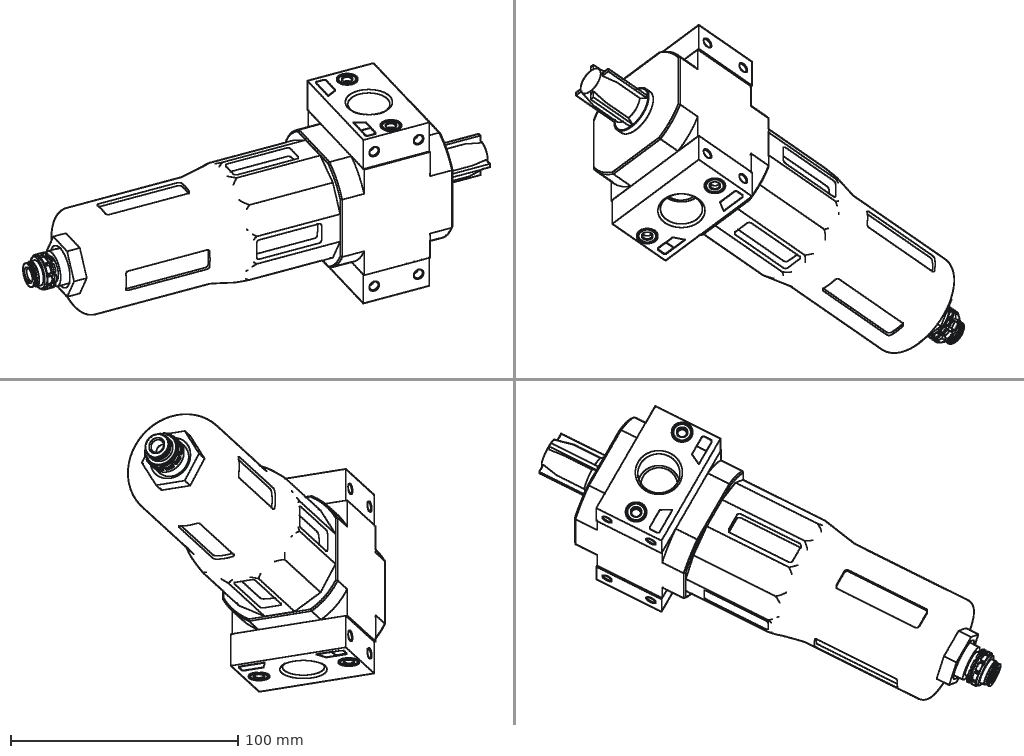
import cadquery as cq
import math


housing_width = 55.0
housing_height = 55.0
housing_length = 55.4
housing_end_radius = 31.3
housing_end_chamfer = 0.7
through_bore_diameter = 16.0

overall_height = 85.0
plate_length = 32.5
plate_shift_x = -0.7
port_diameter = 18.5
port_mouth_diameter = 20.8
port_shift_x = -0.2
side_hole_diameter = 4.2
side_hole_mouth_diameter = 5.0
side_hole_depth = 4.5
side_hole_offset_y = 11.0
drill_point_angle = 118.0
label_depth = 0.2
label_outer_x = 25.0
label_long_inner_x = 12.3
label_short_inner_x = 15.0
label_split_x = 19.5
label_corner_radius = 1.0
label_top_y = -8.7
label_bottom_y = -13.6

screw_offset_x = 21.5
screw_diameter = 7.5
screw_recess_diameter = 8.5
screw_recess_chamfer = 0.5
screw_length = 5.5
screw_socket_diameter = 4.2
screw_socket_mouth_diameter = 5.0
screw_socket_depth = 2.2

guard_side_count = 12
guard_flat_size = 53.3
guard_bowl_diameter = 48.7
guard_taper_start = 41.0
guard_taper_length = 16.5
guard_length = 118.3
guard_end_fillet = 4.0
window_width = 10.0
window_corner_radius = 1.3
window_floor_diameter = 45.5
upper_window_start = 9.2
upper_window_length = 32.0
lower_window_start = 63.0
lower_window_length = 41.3

knob_length = 27.7
knob_collar_diameter = 22.0
knob_collar_length = 2.7
knob_flare_diameter = 21.0
knob_flare_length = 2.7
knob_core_diameter = 16.3
knob_tip_diameter = 12.7
knob_tip_length = 8.5
knob_fin_span = 20.5
knob_fin_thickness = 1.8
knob_fin_setback = 1.0

drain_hex_flats = 23.7
drain_hex_length = 6.3
drain_hex_mouth_diameter = 19.2
drain_ring_diameter = 16.0
drain_shank_diameter = 11.5
drain_step_diameter = 14.5
drain_neck_diameter = 10.0
drain_lip_diameter = 11.0
drain_hole_diameter = 6.0
drain_hole_mouth_diameter = 7.4
drain_hole_depth = 6.7
drain_collar_end = 3.8
drain_first_groove_end = 5.8
drain_thin_ring_end = 6.7
drain_second_groove_end = 8.0
drain_thick_ring_end = 10.0
drain_step_end = 11.2
drain_shoulder_end = 13.2
drain_land_end = 14.0
drain_neck_end = 15.0
drain_stem_length = 15.6
drain_slot_count = 10
drain_slot_width = 1.3

housing_half = housing_length / 2
plate_inner_z = housing_height / 2
plate_outer_z = overall_height / 2
plate_thickness = plate_outer_z - plate_inner_z
side_hole_z = plate_inner_z + plate_thickness / 2
guard_end_y = -housing_half - guard_length
drain_stem_y = guard_end_y - drain_hex_length
cut_margin = 2.2


def rod_along_y(diameter, y_start, y_end):
    """Cylinder on the Y axis between two places."""
    low = min(y_start, y_end)
    return cq.Workplane("XZ", origin=(0, low, 0)).circle(diameter / 2).extrude(-abs(y_end - y_start))


def turned_along_y(profile):
    """Solid of revolution about Y from (radius, y) points whose ends lie on the axis."""
    return cq.Workplane("XY").polyline(profile).close().revolve(360, (0, 0, 0), (0, 1, 0))


def drilled_hole(diameter, depth, mouth_diameter):
    """Cutter along -Z from the origin: blind hole with a pointed end and a chamfered mouth."""
    radius = diameter / 2
    mouth_radius = mouth_diameter / 2
    point_length = radius / math.tan(math.radians(drill_point_angle / 2))
    profile = [
        (0, 0),
        (mouth_radius, 0),
        (radius, radius - mouth_radius),
        (radius, -depth),
        (0, -depth - point_length),
    ]
    return cq.Workplane("XZ").polyline(profile).close().revolve(360, (0, 0, 0), (0, 1, 0))


def make_housing():
    """Square middle block with rounded-square ends and a vertical through bore."""
    ends = cq.Workplane("XY").box(housing_width, housing_length, housing_height)
    ends = ends.intersect(rod_along_y(2 * housing_end_radius, -housing_half, housing_half))
    ends = ends.faces("<Y or >Y").chamfer(housing_end_chamfer)
    middle = cq.Workplane("XY").box(housing_width, plate_length, housing_height)
    bore = cq.Workplane("XY").circle(through_bore_diameter / 2).extrude(housing_height, both=True)
    return ends.union(middle).cut(bore)


def port_cutter():
    """Port through the plate with a 45 degree chamfer at its outer mouth."""
    port_radius = port_diameter / 2
    mouth_radius = port_mouth_diameter / 2
    profile = [
        (0, plate_inner_z),
        (port_radius, plate_inner_z),
        (port_radius, plate_outer_z - (mouth_radius - port_radius)),
        (mouth_radius, plate_outer_z),
        (0, plate_outer_z),
    ]
    cutter = cq.Workplane("XZ").polyline(profile).close().revolve(360, (0, 0, 0), (0, 1, 0))
    return cutter.translate((port_shift_x, 0, 0))


def label_recess(side):
    """Shallow recess with one slanted end, on the -X (side -1) or +X (side +1) half of the plate."""
    outline = [
        (side * label_outer_x, label_bottom_y),
        (side * label_outer_x, label_top_y),
        (side * label_short_inner_x, label_top_y),
        (side * label_long_inner_x, label_bottom_y),
    ]
    floor_z = plate_outer_z - label_depth
    recess = cq.Workplane("XY", origin=(plate_shift_x, 0, floor_z)).polyline(outline).close()
    outer_edges = "|Z and <X" if side < 0 else "|Z and >X"
    return recess.extrude(cut_margin).edges(outer_edges).fillet(label_corner_radius)


def split_label_step():
    """Deeper outer part of the +X label recess."""
    outer_part = cq.Workplane("XY").box(housing_width, housing_length, overall_height)
    outer_part = outer_part.translate((plate_shift_x + label_split_x + housing_width / 2, 0, 0))
    return label_recess(1).translate((0, 0, -label_depth)).intersect(outer_part)


def screw_recess(side):
    """Flat-bottomed recess with a chamfered mouth for one plate screw."""
    recess = cq.Workplane("XY").circle(screw_recess_diameter / 2).extrude(-screw_length)
    mouth = cq.Workplane("XY").circle(screw_recess_diameter / 2 + screw_recess_chamfer)
    mouth = mouth.extrude(-screw_recess_chamfer, taper=45)
    return recess.union(mouth).translate((side * screw_offset_x, 0, plate_outer_z))


def make_top_plate():
    """Port plate on top of the housing."""
    plate = cq.Workplane("XY").box(housing_width, plate_length, plate_thickness)
    plate = plate.translate((plate_shift_x, 0, side_hole_z)).cut(port_cutter())
    for side in (-1, 1):
        plate = plate.cut(screw_recess(side))
        plate = plate.cut(label_recess(side))
        hole = drilled_hole(side_hole_diameter, side_hole_depth, side_hole_mouth_diameter)
        hole = hole.rotate((0, 0, 0), (0, 1, 0), side * 90)
        face_x = plate_shift_x + side * housing_width / 2
        for hole_y in (-side_hole_offset_y, side_hole_offset_y):
            plate = plate.cut(hole.translate((face_x, hole_y, side_hole_z)))
    return plate.cut(split_label_step())


def make_top_screw(side):
    """Socket screw flush with the top plate."""
    socket = drilled_hole(screw_socket_diameter, screw_socket_depth, screw_socket_mouth_diameter)
    screw = cq.Workplane("XY").circle(screw_diameter / 2).extrude(-screw_length).cut(socket)
    return screw.translate((side * screw_offset_x, 0, plate_outer_z))


def window_cutter(y_start, length):
    """Rounded rectangle reaching outward along +Z, used for one window of the guard."""
    centre_y = y_start - length / 2
    return (
        cq.Workplane("XY", origin=(0, centre_y, 0))
        .rect(window_width, length)
        .extrude(guard_flat_size)
        .edges("|Z")
        .fillet(window_corner_radius)
    )


def make_guard():
    """Twelve-sided guard that tapers into a round bowl, with two rows of four windows."""
    corner_diameter = guard_flat_size / math.cos(math.pi / guard_side_count)
    corner_radius = corner_diameter / 2
    bowl_radius = guard_bowl_diameter / 2
    start_y = -housing_half
    taper_y = start_y - guard_taper_start
    bowl_y = taper_y - guard_taper_length
    envelope = turned_along_y(
        [
            (0, start_y),
            (corner_radius + cut_margin, start_y),
            (corner_radius + cut_margin, taper_y),
            (corner_radius, taper_y),
            (bowl_radius, bowl_y),
            (bowl_radius, guard_end_y),
            (0, guard_end_y),
        ]
    )
    prism = cq.Workplane("XZ", origin=(0, start_y, 0)).polygon(guard_side_count, corner_diameter)
    half_side_angle = 180 / guard_side_count
    prism = prism.extrude(guard_length).rotate((0, 0, 0), (0, 1, 0), half_side_angle)
    guard = prism.intersect(envelope).faces("<Y").edges().fillet(guard_end_fillet)

    core = rod_along_y(window_floor_diameter, start_y, guard_end_y)
    for offset, length in (
        (upper_window_start, upper_window_length),
        (lower_window_start, lower_window_length),
    ):
        window = window_cutter(start_y - offset, length).cut(core)
        for quarter in range(4):
            guard = guard.cut(window.rotate((0, 0, 0), (0, 1, 0), 90 * quarter))
    return guard


def make_knob():
    """Adjusting knob: collar, flare, core with a tapered tip and four fins."""
    tip_y = housing_half + knob_length
    collar_y = housing_half + knob_collar_length
    flare_y = collar_y + knob_flare_length
    knob = turned_along_y(
        [
            (0, housing_half),
            (knob_collar_diameter / 2, housing_half),
            (knob_collar_diameter / 2, collar_y),
            (knob_flare_diameter / 2, collar_y),
            (knob_core_diameter / 2, flare_y),
            (knob_core_diameter / 2, tip_y - knob_tip_length),
            (knob_tip_diameter / 2, tip_y),
            (0, tip_y),
        ]
    )
    fin_length = knob_length - knob_collar_length - knob_fin_setback
    fin_y = collar_y + fin_length / 2
    for width, height in ((knob_fin_span, knob_fin_thickness), (knob_fin_thickness, knob_fin_span)):
        fins = cq.Workplane("XY").box(width, fin_length, height).translate((0, fin_y, 0))
        knob = knob.union(fins)
    return knob


def make_drain():
    """Hex base with a countersunk end face, and a stem with slotted rings and an end hole."""
    corner_diameter = drain_hex_flats / math.cos(math.pi / 6)
    drain = cq.Workplane("XZ", origin=(0, guard_end_y, 0)).polygon(6, corner_diameter)
    drain = drain.extrude(drain_hex_length)
    mouth_radius = drain_hex_mouth_diameter / 2
    countersink = cq.Workplane("XZ", origin=(0, drain_stem_y, 0)).circle(mouth_radius)
    sink_depth = mouth_radius - drain_ring_diameter / 2
    drain = drain.cut(countersink.extrude(-sink_depth, taper=45))

    start = -sink_depth
    for diameter, end in (
        (drain_ring_diameter, drain_collar_end),
        (drain_shank_diameter, drain_first_groove_end),
        (drain_ring_diameter, drain_thin_ring_end),
        (drain_shank_diameter, drain_second_groove_end),
        (drain_ring_diameter, drain_thick_ring_end),
        (drain_step_diameter, drain_step_end),
        (drain_shank_diameter, drain_shoulder_end),
        (drain_lip_diameter, drain_land_end),
        (drain_neck_diameter, drain_neck_end),
        (drain_lip_diameter, drain_stem_length),
    ):
        drain = drain.union(rod_along_y(diameter, drain_stem_y - start, drain_stem_y - end))
        start = end

    slot_length = drain_thick_ring_end - drain_first_groove_end
    slot_y = drain_stem_y - drain_first_groove_end - slot_length / 2
    slot_inner = drain_shank_diameter / 2
    slot = cq.Workplane("XY").box(drain_slot_width, slot_length, drain_ring_diameter)
    slot = slot.translate((0, slot_y, slot_inner + drain_ring_diameter / 2))
    for index in range(drain_slot_count):
        drain = drain.cut(slot.rotate((0, 0, 0), (0, 1, 0), index * 360 / drain_slot_count))

    end_y = drain_stem_y - drain_stem_length
    hole = drilled_hole(drain_hole_diameter, drain_hole_depth, drain_hole_mouth_diameter)
    hole = hole.rotate((0, 0, 0), (1, 0, 0), 90)
    return drain.cut(hole.translate((0, end_y, 0)))


housing = make_housing()
top_plate = make_top_plate()
top_screws = [make_top_screw(side) for side in (-1, 1)]
guard = make_guard()
knob = make_knob()
drain = make_drain()

port_parts = [top_plate, *top_screws]
port_parts += [part.mirror("XY") for part in port_parts]

result = cq.Compound.makeCompound(
    [
        housing.val(),
        *[part.val() for part in port_parts],
        guard.val(),
        knob.val(),
        drain.val(),
    ]
)